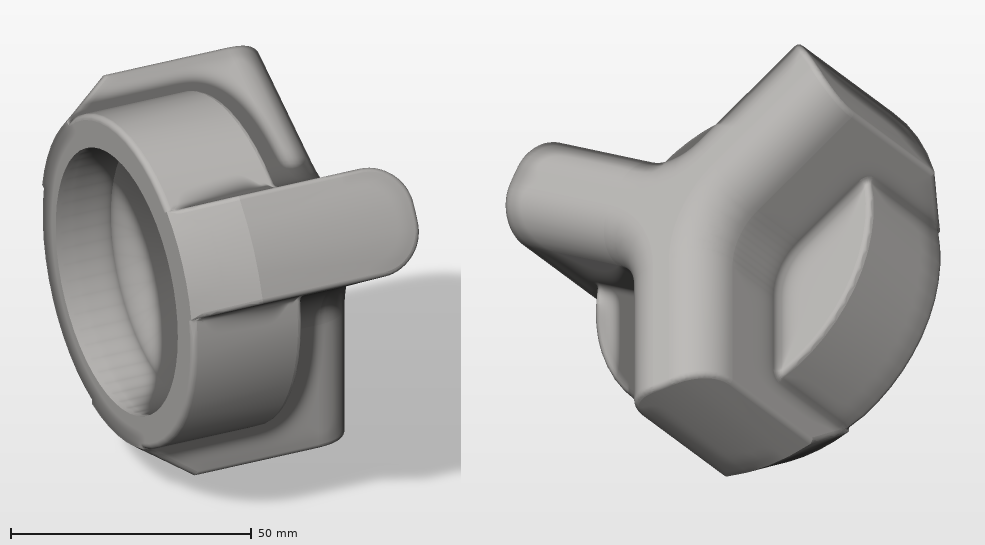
import cadquery as cq
import math

depth = 50.8
ring_radius = 35.6
ring_depth = 25.6
bore_radius = 28.6
bore_depth = 12.8
bore_tip_angle = 118.0
arm_count = 3
arm_reach = 44.4
arm_width = 23.05
bevel_depth = 12.7
inner_corner_radius = 12.8
back_round = 9.5
edge_round = 1.2

arm_stock = 2 * arm_reach
tolerance = 0.04


def turned(sketch):
    """Turn a (radius, Y) outline once around the Y axis."""
    return sketch.close().revolve(360, (0, 0, 0), (0, 1, 0))


def radius_of(edge):
    """Distance of an edge's centre from the Y axis."""
    center = edge.Center()
    return math.hypot(center.x, center.z)


def make_arms():
    """Three arms at equal angles with rounded inner corners, rounded backs and bevelled ends."""
    arm = (
        cq.Workplane("XY")
        .box(arm_width, depth, arm_stock, centered=(True, False, False))
        .translate((0, 0, -arm_stock))
    )
    star = arm
    for index in range(1, arm_count):
        star = star.union(arm.rotate((0, 0, 0), (0, 1, 0), index * 360 / arm_count))

    inner_corners = star.edges("|Y").filter(lambda edge: radius_of(edge) < arm_width)
    star = inner_corners.fillet(inner_corner_radius)

    back_edges = star.faces(">Y").edges().filter(lambda edge: radius_of(edge) < arm_stock - arm_width)
    star = back_edges.fillet(back_round)

    envelope = turned(
        cq.Workplane("XY")
        .lineTo(ring_radius, 0)
        .lineTo(arm_reach, bevel_depth)
        .lineTo(arm_reach, depth)
        .lineTo(0, depth)
    )
    return star.intersect(envelope)


def needs_small_round(edge):
    """True for the arm end edges and for the ring's back edge and its joints with the arms."""
    height = edge.Center().y
    on_ring_back = abs(height - ring_depth) < tolerance
    is_bevel_arc = edge.geomType() == "CIRCLE" and height < ring_depth
    is_outer = radius_of(edge) > ring_radius - tolerance
    return on_ring_back or (is_outer and not is_bevel_arc)


def make_front_edge_cutter(arms):
    """Waste outside the rounded front edge of the ring, interrupted by the arms."""
    waste_width = 2 * edge_round
    outer_radius = ring_radius + waste_width
    bevel_slope = bevel_depth / (arm_reach - ring_radius)
    arc_offset = edge_round * (1 - math.sqrt(0.5))
    waste = turned(
        cq.Workplane("XY")
        .moveTo(ring_radius - edge_round, 0)
        .threePointArc((ring_radius - arc_offset, arc_offset), (ring_radius, edge_round))
        .lineTo(outer_radius, edge_round + waste_width * bevel_slope)
        .lineTo(outer_radius, -edge_round)
        .lineTo(ring_radius - edge_round, -edge_round)
    )
    return waste.cut(arms)


def make_bore():
    """Blind bore with a conical bottom."""
    tip_depth = bore_depth + bore_radius / math.tan(math.radians(bore_tip_angle / 2))
    return turned(
        cq.Workplane("XY")
        .lineTo(bore_radius, 0)
        .lineTo(bore_radius, bore_depth)
        .lineTo(0, tip_depth)
    )


arms = make_arms()
ring = cq.Workplane("XZ").circle(ring_radius).extrude(-ring_depth)
body = arms.union(ring).edges().filter(needs_small_round).fillet(edge_round)
body = body.cut(make_front_edge_cutter(arms))
result = body.cut(make_bore())